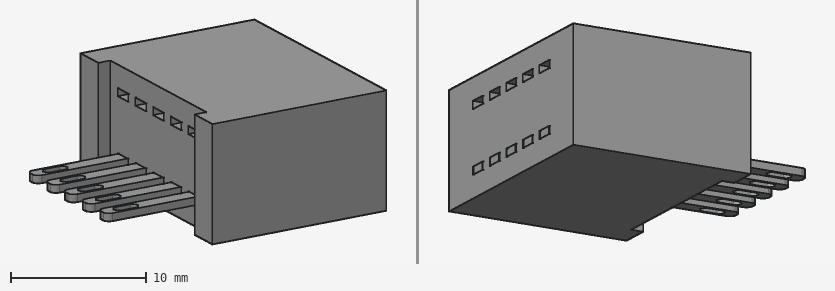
import cadquery as cq

HOUSING_WIDTH = 18.95
HOUSING_DEPTH = 15.0
HOUSING_HEIGHT = 9.4
CHEEK_WIDTH = 2.58
RECESS_DEPTH = 1.03

SLOT_COUNT = 5
SLOT_PITCH = 2.53
SLOT_WIDTH = 1.53
SLOT_HEIGHT = 0.63
ROW_SPACING = 5.1

PIN_WIDTH = 1.3
PIN_CORNER_RADIUS = 0.5
PIN_TIP_Y = -21.85
EYE_WIDTH = 0.85
EYE_LENGTH = 2.03
EYE_TO_TIP = 1.03

FRONT_Y = -HOUSING_DEPTH
LOWER_ROW_Z = (HOUSING_HEIGHT - ROW_SPACING) / 2
UPPER_ROW_Z = LOWER_ROW_Z + ROW_SPACING
COLUMN_X = [(i - (SLOT_COUNT - 1) / 2) * SLOT_PITCH for i in range(SLOT_COUNT)]


def make_block():
    """Plain housing block with its rear face at Y = 0."""
    return cq.Workplane("XY").box(
        HOUSING_WIDTH, HOUSING_DEPTH, HOUSING_HEIGHT, centered=(True, False, False)
    ).translate((0, FRONT_Y, 0))


def make_front_recess():
    """Shallow full-height cut between the two front cheeks."""
    return cq.Workplane("XY").box(
        HOUSING_WIDTH - 2 * CHEEK_WIDTH, RECESS_DEPTH, HOUSING_HEIGHT, centered=(True, False, False)
    ).translate((0, FRONT_Y, 0))


def make_slots():
    """Cutters for both rows of contact slots."""
    centers = [(x, z) for z in (LOWER_ROW_Z, UPPER_ROW_Z) for x in COLUMN_X]
    return (
        cq.Workplane("XZ")
        .pushPoints(centers)
        .rect(SLOT_WIDTH, SLOT_HEIGHT)
        .extrude(HOUSING_DEPTH)
    )


def make_housing():
    return make_block().cut(make_front_recess()).cut(make_slots())


def make_pin(x):
    """Flat pin from the rear face to its rounded tip, with a wire eye near the tip."""
    length = -PIN_TIP_Y
    blade = (
        cq.Workplane("XY")
        .box(PIN_WIDTH, length, SLOT_HEIGHT, centered=(True, False, True))
        .translate((0, PIN_TIP_Y, 0))
        .edges("|Z and <Y")
        .fillet(PIN_CORNER_RADIUS)
    )
    eye = (
        cq.Workplane("XY")
        .center(0, PIN_TIP_Y + EYE_TO_TIP + EYE_LENGTH / 2)
        .slot2D(EYE_LENGTH, EYE_WIDTH, 90)
        .extrude(SLOT_HEIGHT / 2, both=True)
    )
    return blade.cut(eye).translate((x, 0, LOWER_ROW_Z))


housing = make_housing()
pins = [make_pin(x) for x in COLUMN_X]

result = cq.Compound.makeCompound([housing.val(), *[pin.val() for pin in pins]])